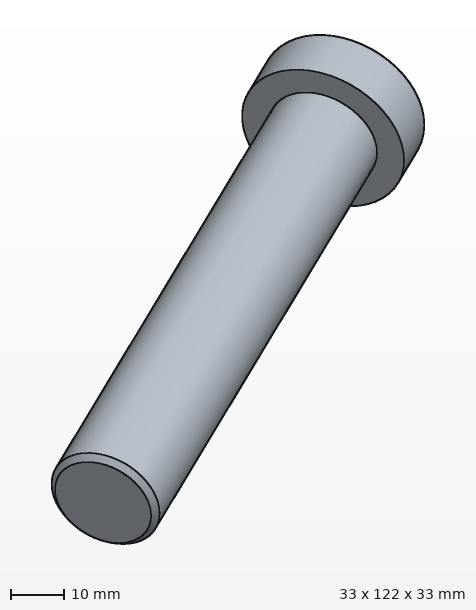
import cadquery as cq

total_length = 122.0
head_length = 12.0
head_diameter = 33.0
head_edge_radius = 2.2
shank_diameter = 22.0
shank_tip_chamfer = 1.2

shank_length = total_length - head_length
tip_y = -total_length / 2
shoulder_y = tip_y + shank_length


def cylinder_along_y(diameter, length, start_y):
    """Solid cylinder running in +Y from start_y."""
    plane = cq.Plane(origin=(0, start_y, 0), xDir=(1, 0, 0), normal=(0, 1, 0))
    return cq.Workplane(plane).circle(diameter / 2).extrude(length)


shank = cylinder_along_y(shank_diameter, shank_length, tip_y)
shank = shank.faces("<Y").edges().chamfer(shank_tip_chamfer)

head = cylinder_along_y(head_diameter, head_length, shoulder_y)
head = head.faces(">Y").edges().fillet(head_edge_radius)

result = shank.union(head)